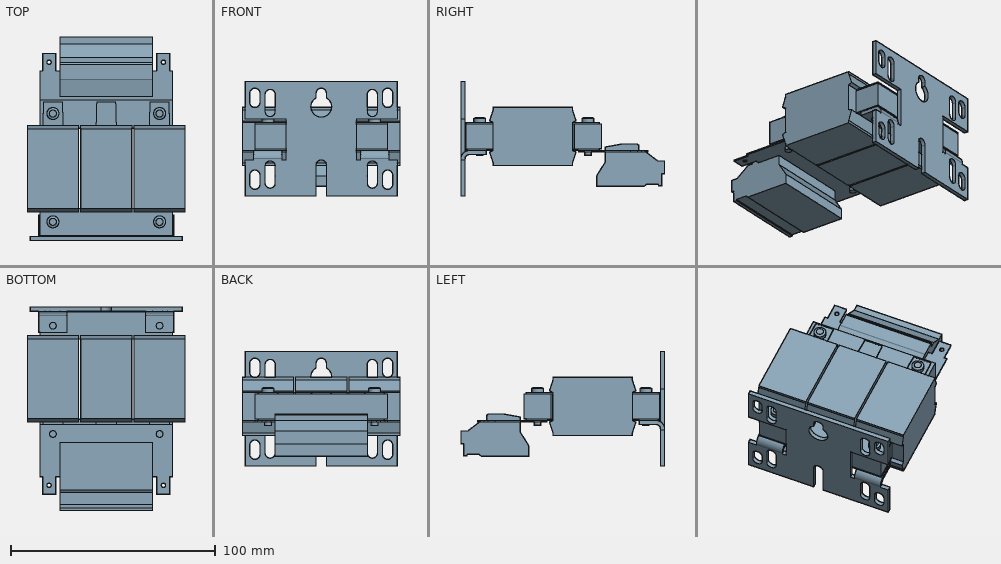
import cadquery as cq
import math


sheet = 2.1
plate_width = 74.4
plate_height = 56.0
slot_width = 4.9
slot_outer_end = 24.6
outer_slot_x = 32.4
outer_slot_length = 9.3
inner_slot_x = 24.9
inner_slot_outer_end = 24.0
inner_slot_length = 13.2
keyhole_z = 15.6
keyhole_diameter = 10.0
centre_slot_width = 5.0
centre_slot_top = -10.3

window_inner_x = 17.1
window_top = 9.6
window_bottom = centre_slot_top
tab_inner_x = 19.2
tab_outer_x = 33.0
tab_end_y = 12.4
bend_inner_radius = 2.0
bend_outer_radius = bend_inner_radius + sheet

stack_top = 7.9
lamination_height = 12.2
insulation = 0.7
stack_height = lamination_height + 2 * insulation
stack_bottom = stack_top - stack_height
core_mid_z = (stack_top + stack_bottom) / 2
core_width = 64.8
insulation_setback = 0.1
front_yoke_y = 2.4
back_yoke_y = 55.4
back_yoke_end = 68.6

coil_count = 3
coil_row_width = 77.0
coil_width = 25.0
coil_pitch = (coil_row_width - coil_width) / (coil_count - 1)
coil_front = 15.7
coil_back = 54.4
coil_height = 28.5
coil_edge_height = 1.3
flare_reach = 1.8
flare_tip_rise = 0.8

spacer_y = 54.7
spacer_setback = 0.2
leg_width = 12.9
tongue_end = 67.5
tongue_root_width = 9.9
tongue_tip_width = 9.2

bolt_x = 26.0
bolt_rows_y = (9.1, 62.0)
head_diameter = 5.9
head_flat_diameter = 3.5
head_rim_height = 2.0
head_height = 2.5
shank_diameter = 3.3
shank_end = -8.0

carrier_sheet = 0.7
carrier_front = 57.3
carrier_shoulder = 82.8
lug_end = 91.4
lug_inner_x = 24.5
lug_width = 6.5
lug_hole_x = 27.9
lug_hole_y = 87.0
lug_hole_diameter = 2.0

terminal_count = 3
terminal_row_width = 45.2
terminal_width = terminal_row_width / terminal_count
terminal_back = 99.3
terminal_bottom = -23.2
nose_top = -10.7
nose_bottom = -17.1
nose_shoulder_y = 95.9
shoulder_end_y = 89.3
cap_back = 86.8
cap_chamfer_bottom = -3.1
cap_chamfer_y = 85.8
cap_top = -2.5
cap_slope_y = 78.6
terminal_front = 70.3
cap_front_top = -4.0
foot_slope_top = -11.4
foot_slope_bottom = -18.1
foot_front = 66.1
recess_front = 89.4
recess_slope_y = 90.6
recess_top = -22.2
lip_front = 96.3
lip_back = 98.0
lip_bottom = -22.9


def box(x0, x1, y0, y1, z0, z1):
    return cq.Workplane("XY").box(x1 - x0, y1 - y0, z1 - z0, centered=False).translate((x0, y0, z0))


def wide_box(width, y0, y1, z0, z1):
    """Box centred on X = 0."""
    return box(-width / 2, width / 2, y0, y1, z0, z1)


def extrude_side_profile(points, x_mid, width):
    """Closed (Y, Z) outline extruded along X, centred on x_mid."""
    profile = cq.Workplane("YZ").polyline(points).close()
    return profile.extrude(width / 2, both=True).translate((x_mid, 0, 0))


def row_positions(count, pitch):
    return [(i - (count - 1) / 2) * pitch for i in range(count)]


def plate_cut(sketch):
    """Cutter through the plate from an outline drawn on the XZ plane."""
    return sketch.extrude(sheet, both=True)


def mounting_plate():
    plate = wide_box(plate_width, 0, sheet, -plate_height / 2, plate_height / 2)
    slots = (
        (outer_slot_x, slot_outer_end, outer_slot_length),
        (inner_slot_x, inner_slot_outer_end, inner_slot_length),
    )
    for side in (-1, 1):
        for upright in (-1, 1):
            for x, outer_end, length in slots:
                middle = (side * x, upright * (outer_end - length / 2))
                slot = cq.Workplane("XZ").center(*middle).slot2D(length, slot_width, 90)
                plate = plate.cut(plate_cut(slot))
        window_width = plate_width / 2 - window_inner_x
        window = cq.Workplane("XZ").center(
            side * (window_inner_x + window_width / 2), (window_top + window_bottom) / 2
        )
        plate = plate.cut(plate_cut(window.rect(window_width, window_top - window_bottom)))

    neck_length = slot_outer_end - keyhole_z + centre_slot_width / 2
    neck = cq.Workplane("XZ").center(0, slot_outer_end - neck_length / 2)
    plate = plate.cut(plate_cut(neck.slot2D(neck_length, centre_slot_width, 90)))
    plate = plate.cut(plate_cut(cq.Workplane("XZ").center(0, keyhole_z).circle(keyhole_diameter / 2)))

    open_slot_length = 2 * (centre_slot_top + plate_height / 2)
    open_slot = cq.Workplane("XZ").center(0, -plate_height / 2)
    return plate.cut(plate_cut(open_slot.slot2D(open_slot_length, centre_slot_width, 90)))


def bent_tab(side):
    """Tab rising from the window's lower edge and bent back under the front yoke."""
    bend_z = stack_bottom - bend_outer_radius
    outer_mid = bend_outer_radius * math.cos(math.pi / 4)
    inner_mid = bend_inner_radius * math.cos(math.pi / 4)
    profile = (
        cq.Workplane("YZ")
        .moveTo(0, window_bottom)
        .lineTo(0, bend_z)
        .threePointArc(
            (bend_outer_radius - outer_mid, bend_z + outer_mid), (bend_outer_radius, stack_bottom)
        )
        .lineTo(tab_end_y, stack_bottom)
        .lineTo(tab_end_y, stack_bottom - sheet)
        .lineTo(bend_outer_radius, stack_bottom - sheet)
        .threePointArc((bend_outer_radius - inner_mid, bend_z + inner_mid), (sheet, bend_z))
        .lineTo(sheet, window_bottom)
        .close()
    )
    tab = profile.extrude((tab_outer_x - tab_inner_x) / 2, both=True)
    return tab.translate((side * (tab_outer_x + tab_inner_x) / 2, 0, 0))


def core():
    lamination_bottom = stack_bottom + insulation
    lamination_top = stack_top - insulation
    front_yoke = wide_box(core_width, front_yoke_y, coil_front, lamination_bottom, lamination_top)
    front_insulation = wide_box(
        core_width - 2 * insulation_setback,
        front_yoke_y + insulation_setback, coil_front, stack_bottom, stack_top,
    )
    back_yoke = wide_box(core_width, back_yoke_y, back_yoke_end, lamination_bottom, lamination_top)
    spacer = wide_box(
        core_width - 2 * spacer_setback, spacer_y, back_yoke_y, lamination_bottom, lamination_top
    )
    body = front_yoke.union(front_insulation).union(back_yoke).union(spacer)
    for x in row_positions(coil_count, coil_pitch):
        leg = wide_box(leg_width, coil_front, spacer_y, lamination_bottom, lamination_top)
        body = body.union(leg.translate((x, 0, 0)))
    return body


def coil(x_mid):
    """Winding block whose four long edges flare out towards the yokes."""
    half_height = coil_height / 2
    half_stack = stack_height / 2
    half_length = (coil_back - coil_front) / 2
    coil_mid_y = (coil_front + coil_back) / 2
    quarter = [
        (half_length, half_stack),
        (half_length + flare_reach, half_stack + flare_tip_rise),
        (half_length, half_height - coil_edge_height),
        (half_length, half_height),
    ]
    upper = quarter + [(-y, z) for y, z in reversed(quarter)]
    outline = upper + [(y, -z) for y, z in reversed(upper)]
    points = [(coil_mid_y + y, core_mid_z + z) for y, z in outline]
    return extrude_side_profile(points, x_mid, coil_width)


def tongues(x_mid):
    """Tapered insulating tongues above and below the back yoke."""
    outline = [
        (x_mid - tongue_root_width / 2, coil_back),
        (x_mid + tongue_root_width / 2, coil_back),
        (x_mid + tongue_tip_width / 2, tongue_end),
        (x_mid - tongue_tip_width / 2, tongue_end),
    ]
    tongue = cq.Workplane("XY").polyline(outline).close().extrude(insulation)
    lower = tongue.translate((0, 0, stack_bottom))
    upper = tongue.translate((0, 0, stack_top - insulation))
    return lower.union(upper)


def bolt(x, y):
    outline = [
        (0, shank_end),
        (shank_diameter / 2, shank_end),
        (shank_diameter / 2, stack_top),
        (head_diameter / 2, stack_top),
        (head_diameter / 2, stack_top + head_rim_height),
        (head_flat_diameter / 2, stack_top + head_height),
        (0, stack_top + head_height),
    ]
    solid = cq.Workplane("XZ").polyline(outline).close().revolve(360, (0, 0), (0, 1))
    return solid.translate((x, y, 0))


def terminal_carrier():
    bottom = stack_bottom - carrier_sheet
    carrier = wide_box(core_width, carrier_front, carrier_shoulder, bottom, stack_bottom)
    for side in (-1, 1):
        lug = wide_box(lug_width, carrier_shoulder, lug_end, bottom, stack_bottom)
        carrier = carrier.union(lug.translate((side * (lug_inner_x + lug_width / 2), 0, 0)))
        hole = cq.Workplane("XY").center(side * lug_hole_x, lug_hole_y).circle(lug_hole_diameter / 2)
        carrier = carrier.cut(hole.extrude(2 * stack_bottom))
    return carrier


def terminal_block(x_mid):
    points = [
        (terminal_back, nose_bottom),
        (terminal_back, nose_top),
        (nose_shoulder_y, nose_top),
        (shoulder_end_y, stack_bottom),
        (cap_back, stack_bottom),
        (cap_back, cap_chamfer_bottom),
        (cap_chamfer_y, cap_top),
        (cap_slope_y, cap_top),
        (terminal_front, cap_front_top),
        (terminal_front, foot_slope_top),
        (foot_front, foot_slope_bottom),
        (foot_front, terminal_bottom),
        (recess_front, terminal_bottom),
        (recess_slope_y, recess_top),
        (lip_front, recess_top),
        (lip_front, lip_bottom),
        (lip_back, lip_bottom),
        (lip_back, nose_bottom),
    ]
    return extrude_side_profile(points, x_mid, terminal_width)


result = mounting_plate().union(core()).union(terminal_carrier())
for side in (-1, 1):
    result = result.union(bent_tab(side))
for x in row_positions(coil_count, coil_pitch):
    result = result.union(coil(x)).union(tongues(x))
for side in (-1, 1):
    for y in bolt_rows_y:
        result = result.union(bolt(side * bolt_x, y))
for x in row_positions(terminal_count, terminal_width):
    result = result.union(terminal_block(x))